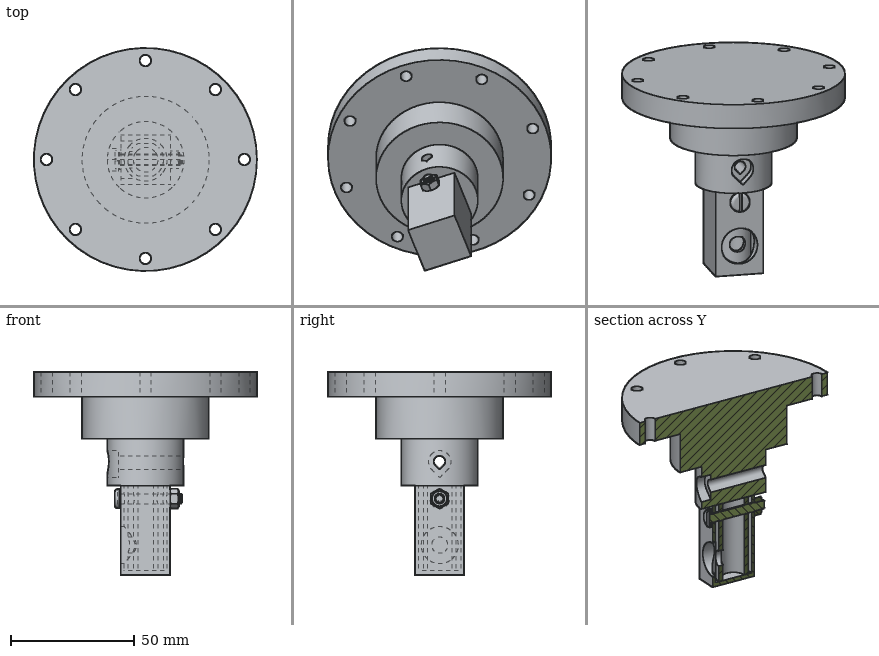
import cadquery as cq
import math

flange_diameter = 90.5
flange_thickness = 10.05
hub_diameter = 51.5
hub_length = 17.1
neck_diameter = 31.0
neck_length = 18.9
bolt_circle_diameter = 80.2
bolt_hole_diameter = 4.5
bolt_hole_count = 8

teardrop_rise = 9.8
teardrop_hole_diameter = 4.5
teardrop_recess_diameter = 9.05
teardrop_recess_depth = 4.5

post_width = 20.0
post_length = 36.2
window_height = 12.2
window_diameter = 15.0
bore_diameter = 17.4
floor_thickness = 2.0

sleeve_diameter = 14.5
sleeve_across_flats = 13.0
sleeve_bore_diameter = 10.0
sleeve_side_hole_diameter = 6.5

screw_height = 30.95
screw_diameter = 4.0
screw_root_diameter = 3.1
screw_end_overhang = 4.9
head_diameter = 8.0
head_thickness = 1.9
head_rounding = 1.3
slot_width = 1.1
slot_depth = 1.0
washer_thickness = 0.5
nut_sides = 6
nut_across_flats = 7.0
nut_thickness = 3.6
nut_face_diameter = 6.1
nut_chamfer_angle = 30.0

neck_bottom = post_length
hub_bottom = neck_bottom + neck_length
flange_bottom = hub_bottom + hub_length
teardrop_height = neck_bottom + teardrop_rise
post_half = post_width / 2
sleeve_length = post_length - floor_thickness


def z_cylinder(diameter, bottom, length):
    """A cylinder up the Z axis from the given height."""
    return cq.Workplane("XY").workplane(offset=bottom).circle(diameter / 2).extrude(length)


def x_cylinder(diameter, start_x, length, height):
    """A cylinder along +X at the given height, on the plane Y = 0."""
    plane = cq.Plane(origin=(start_x, 0, height), xDir=(0, 1, 0), normal=(1, 0, 0))
    return cq.Workplane(plane).circle(diameter / 2).extrude(length)


def teardrop_prism(diameter, start_x, length):
    """A prism along +X whose round outline runs down to a right-angled point."""
    radius = diameter / 2
    tangent = radius / math.sqrt(2)
    plane = cq.Plane(origin=(start_x, 0, teardrop_height), xDir=(0, 1, 0), normal=(1, 0, 0))
    return (
        cq.Workplane(plane)
        .moveTo(-tangent, -tangent)
        .threePointArc((0, radius), (tangent, -tangent))
        .lineTo(0, -radius * math.sqrt(2))
        .close()
        .extrude(length)
    )


def revolve_about_screw(profile):
    """A body turned about the screw axis from (x, radius) points."""
    turned = cq.Workplane("XY").polyline(profile).close().revolve(360, (0, 0, 0), (1, 0, 0))
    return turned.translate((0, 0, screw_height))


def make_flange():
    neck = z_cylinder(neck_diameter, neck_bottom, neck_length)
    hub = z_cylinder(hub_diameter, hub_bottom, hub_length)
    plate = z_cylinder(flange_diameter, flange_bottom, flange_thickness)
    bolt_holes = (
        cq.Workplane("XY")
        .workplane(offset=flange_bottom)
        .polarArray(bolt_circle_diameter / 2, 0, 360, bolt_hole_count)
        .circle(bolt_hole_diameter / 2)
        .extrude(flange_thickness)
    )
    neck_radius = neck_diameter / 2
    hole = teardrop_prism(teardrop_hole_diameter, -neck_radius, neck_diameter)
    recess = teardrop_prism(teardrop_recess_diameter, -neck_radius, teardrop_recess_depth)
    return neck.union(hub).union(plate).cut(bolt_holes).cut(hole).cut(recess)


def make_post():
    post = cq.Workplane("XY").rect(post_width, post_width).extrude(post_length)
    bore = z_cylinder(bore_diameter, floor_thickness, sleeve_length)
    window = x_cylinder(window_diameter, -post_half, post_half, window_height)
    screw_hole = x_cylinder(screw_diameter, -post_half, post_width, screw_height)
    return post.cut(bore).cut(window).cut(screw_hole)


def make_sleeve():
    sleeve_radius = sleeve_diameter / 2
    sleeve = z_cylinder(sleeve_diameter, floor_thickness, sleeve_length)
    flats = (
        cq.Workplane("XY")
        .workplane(offset=floor_thickness)
        .rect(sleeve_diameter, sleeve_across_flats)
        .extrude(sleeve_length)
    )
    bore = z_cylinder(sleeve_bore_diameter, floor_thickness, sleeve_length)
    side_hole = x_cylinder(sleeve_side_hole_diameter, -sleeve_radius, sleeve_radius, window_height)
    screw_hole = x_cylinder(screw_diameter, -sleeve_radius, sleeve_diameter, screw_height)
    return sleeve.intersect(flats).cut(bore).cut(side_hole).cut(screw_hole)


def make_screw():
    head_base = -post_half - washer_thickness
    head_top = head_base - head_thickness
    nut_end = post_half + nut_thickness
    shank_end = post_half + screw_end_overhang
    shank_radius = screw_diameter / 2
    root_radius = screw_root_diameter / 2
    flank_length = shank_radius - root_radius
    head = x_cylinder(head_diameter, head_top, head_thickness, screw_height)
    head = head.faces("<X").edges().fillet(head_rounding)
    profile = [
        (head_base, 0),
        (head_base, shank_radius),
        (nut_end, shank_radius),
        (nut_end, root_radius),
        (nut_end + flank_length, shank_radius),
        (shank_end - flank_length, shank_radius),
        (shank_end, root_radius),
        (shank_end, 0),
    ]
    shank = revolve_about_screw(profile)
    slot = cq.Workplane("XY").box(slot_depth, slot_width, head_diameter, centered=(False, True, True))
    slot = slot.translate((head_top, 0, screw_height))
    return head.union(shank).cut(slot)


def make_washer():
    start_x = -post_half - washer_thickness
    ring = x_cylinder(head_diameter, start_x, washer_thickness, screw_height)
    return ring.cut(x_cylinder(screw_diameter, start_x, washer_thickness, screw_height))


def make_nut():
    nut_end = post_half + nut_thickness
    corner_diameter = nut_across_flats / math.cos(math.pi / nut_sides)
    corner_radius = corner_diameter / 2
    inner_face_radius = nut_across_flats / 2
    outer_face_radius = nut_face_diameter / 2
    chamfer_slope = math.tan(math.radians(nut_chamfer_angle))
    inner_chamfer = (corner_radius - inner_face_radius) * chamfer_slope
    outer_chamfer = (corner_radius - outer_face_radius) * chamfer_slope
    plane = cq.Plane(origin=(post_half, 0, screw_height), xDir=(0, 0, 1), normal=(1, 0, 0))
    prism = cq.Workplane(plane).polygon(nut_sides, corner_diameter).extrude(nut_thickness)
    chamfered_turning = revolve_about_screw([
        (post_half, 0),
        (post_half, inner_face_radius),
        (post_half + inner_chamfer, corner_radius),
        (nut_end - outer_chamfer, corner_radius),
        (nut_end, outer_face_radius),
        (nut_end, 0),
    ])
    bore = x_cylinder(screw_diameter, post_half, nut_thickness, screw_height)
    return prism.intersect(chamfered_turning).cut(bore)


flange = make_flange()
post = make_post()
sleeve = make_sleeve()
screw = make_screw()
washer = make_washer()
nut = make_nut()

result = cq.Compound.makeCompound(
    [flange.val(), post.val(), sleeve.val(), screw.val(), washer.val(), nut.val()]
)